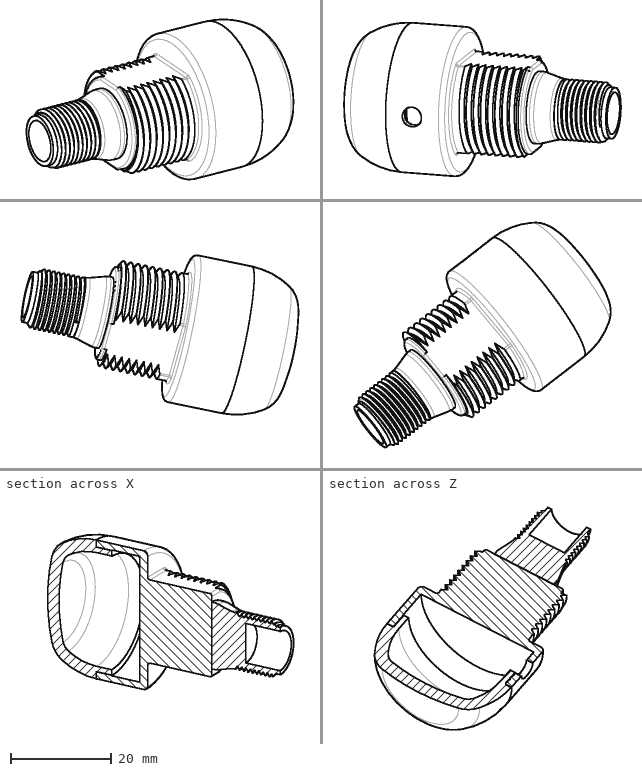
import cadquery as cq

head_radius = 15.0
head_edge_fillet = 1.0
ring_height = 12.0
ring_wall = 1.5
cavity_radius = head_radius - ring_wall
cavity_floor = 2.0
vent_diameter = 4.0
vent_height = 6.5

dome_height = 23.5
crown_radius = 43.0
crown_blend_radius = 5.5
skirt_wall = 1.3
skirt_height = 8.4
dome_wall = ring_wall + skirt_wall

stem_radius = 10.9
stem_length = 15.0
stem_half_flats = 9.0
stem_corner_fillet = 0.75
stem_root_fillet = 0.5
stem_tip_radius = 9.5
stem_tip_length = 1.0
stem_tip_fillet = 0.5
stem_pitch = 1.5
stem_plain_length = 1.0
stem_groove_start = 1.7

connector_end = 31.0
neck_radius = 7.25
neck_taper_start = stem_length + 1.07
neck_taper_end = stem_length + 5.05
neck_blend_radius = 3.0
barrel_radius = 6.1
spigot_radius = 5.15
spigot_length = 1.0
bore_radius = 4.2
bore_depth = 8.0
barrel_pitch = 1.0
barrel_plain_end = 20.45
barrel_groove_start = 20.95

groove_depth_per_pitch = 0.7
groove_width_per_pitch = 0.95
groove_overshoot_per_pitch = 0.03

edge_margin = 0.1


def lay_along_y(body):
    """Turn a body's solid from its local Z axis onto -Y."""
    return body.rotate((0, 0, 0), (1, 0, 0), 90).solids()


def cylinder(radius, z_low, z_high):
    return cq.Workplane("XY", origin=(0, 0, z_low)).circle(radius).extrude(z_high - z_low)


def edges_at(body, z):
    """Edges in the plane at height z that lie no further out than the stem surface."""
    reach = stem_radius + edge_margin
    low_corner = (-reach, -reach, z - edge_margin)
    high_corner = (reach, reach, z + edge_margin)
    zone = cq.selectors.BoxSelector(low_corner, high_corner, boundingbox=True)
    return body.edges(zone)


def threaded(body, major_radius, pitch, z_plain_end, z_groove_start):
    """Give body a right-handed thread beyond z_plain_end that begins on the local -Y side."""
    depth = groove_depth_per_pitch * pitch
    overshoot = groove_overshoot_per_pitch * pitch
    root_radius = major_radius - depth
    outer_radius = major_radius + overshoot
    half_width = groove_width_per_pitch * pitch / 2 * (depth + overshoot) / depth
    body_end = body.val().BoundingBox().zmax
    groove_end = body_end + pitch

    helix = cq.Wire.makeHelix(pitch, groove_end - z_groove_start, root_radius)
    section = (
        cq.Workplane("XZ")
        .moveTo(root_radius, 0)
        .lineTo(outer_radius, half_width)
        .lineTo(outer_radius, -half_width)
        .close()
    )
    groove = section.sweep(cq.Workplane(helix), isFrenet=True).translate((0, 0, z_groove_start))
    threaded_bar = cylinder(major_radius, 0, groove_end + pitch).cut(groove)
    threaded_bar = threaded_bar.rotate((0, 0, 0), (0, 0, 1), -90)
    plain_zone = cylinder(head_radius, -dome_height, z_plain_end)
    return body.intersect(threaded_bar.union(plain_zone))


def ball(radius, z_center):
    return cq.Workplane("XY", origin=(0, 0, z_center)).sphere(radius)


def dome_form(inset):
    """Dome in front of the ring, with its surface moved inwards by inset."""
    half_ball = ball(head_radius - inset, -ring_height).intersect(
        cylinder(head_radius, -ring_height - head_radius, -ring_height)
    )
    crowned = half_ball.intersect(ball(crown_radius - inset, crown_radius - dome_height))
    return crowned.faces("<Z").edges().fillet(crown_blend_radius - inset)


def make_dome():
    """Hollow dome with a skirt that plugs into the ring."""
    skirt = cylinder(cavity_radius, -ring_height, -skirt_height)
    skirt_bore = cylinder(head_radius - dome_wall, -ring_height, -skirt_height)
    return dome_form(0).union(skirt).cut(dome_form(dome_wall)).cut(skirt_bore)


def make_ring():
    """Cup that carries the dome, with a vent through its -X side."""
    ring = cylinder(head_radius, -ring_height, 0).faces(">Z").edges().fillet(head_edge_fillet)
    cavity = cylinder(cavity_radius, -ring_height, -cavity_floor)
    vent = (
        cq.Workplane("YZ", origin=(-head_radius, 0, 0))
        .center(0, -vent_height)
        .circle(vent_diameter / 2)
        .extrude(head_radius)
    )
    return ring.cut(cavity).cut(vent)


def flatted(radius, z_low, z_high):
    """Round bar with the two flats of the stem."""
    flats = (
        cq.Workplane("XY", origin=(0, 0, z_low))
        .rect(2 * radius, 2 * stem_half_flats)
        .extrude(z_high - z_low)
    )
    return cylinder(radius, z_low, z_high).intersect(flats)


def make_housing():
    """Ring and threaded stem, blended where the stem leaves the ring."""
    tip_start = stem_length - stem_tip_length
    stem = flatted(stem_radius, 0, tip_start).edges("|Z").fillet(stem_corner_fillet)
    blank = make_ring().union(stem)
    blank = edges_at(blank, 0).fillet(stem_root_fillet)
    body = threaded(blank, stem_radius, stem_pitch, stem_plain_length, stem_groove_start)
    tip = flatted(stem_tip_radius, tip_start - stem_tip_length, stem_length)
    tip = tip.faces(">Z").edges().fillet(stem_tip_fillet)
    return body.union(tip)


def make_connector():
    """Tapered neck and threaded barrel, with a blind bore."""
    barrel_end = connector_end - spigot_length
    blank = (
        cq.Workplane("XZ")
        .moveTo(0, stem_length)
        .lineTo(neck_radius, stem_length)
        .lineTo(neck_radius, neck_taper_start)
        .lineTo(barrel_radius, neck_taper_end)
        .lineTo(barrel_radius, barrel_end)
        .lineTo(0, barrel_end)
        .close()
        .revolve(360, (0, 0), (0, 1))
    )
    blank = blank.faces(">Z").edges().chamfer(barrel_radius - spigot_radius)
    for taper_edge_z in (neck_taper_start, neck_taper_end):
        blank = edges_at(blank, taper_edge_z).fillet(neck_blend_radius)
    body = threaded(blank, barrel_radius, barrel_pitch, barrel_plain_end, barrel_groove_start)
    spigot = cylinder(spigot_radius, barrel_end - spigot_length, connector_end)
    bore = cylinder(bore_radius, connector_end - bore_depth, connector_end)
    return body.union(spigot).cut(bore)


dome = lay_along_y(make_dome())
housing = lay_along_y(make_housing())
connector = lay_along_y(make_connector())
result = cq.Compound.makeCompound([dome.val(), housing.val(), connector.val()])